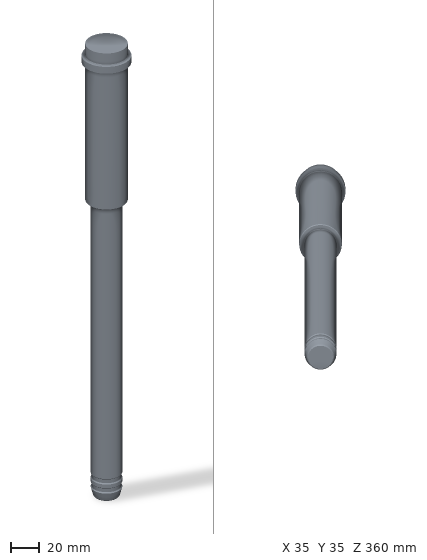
import cadquery as cq

length = 360.0

head_diameter = 30.0
head_length = 125.0
collar_diameter = 35.0
collar_height = 5.5
collar_offset = 9.5
edge_break = 0.55

rod_diameter = 22.5
nose_height = 7.2
nose_tip_diameter = 18.7
tip_chamfer = 0.7

groove_depth = 0.7
groove_flank = 0.7
groove_height = 4.5
groove_pitch = 7.2
groove_count = 2

head_bottom = length - head_length
collar_top = length - collar_offset
collar_bottom = collar_top - collar_height
head_radius = head_diameter / 2
collar_radius = collar_diameter / 2
rod_radius = rod_diameter / 2
tip_radius = nose_tip_diameter / 2
floor_radius = rod_radius - groove_depth

section = (
    cq.Workplane("XZ")
    .lineTo(tip_radius - tip_chamfer, 0)
    .lineTo(tip_radius, tip_chamfer)
    .lineTo(rod_radius, nose_height)
)

for index in range(groove_count):
    bottom = nose_height + index * groove_pitch
    top = bottom + groove_height
    if index > 0:
        section = section.lineTo(rod_radius, bottom)
    section = (
        section.lineTo(floor_radius, bottom + groove_flank)
        .lineTo(floor_radius, top - groove_flank)
        .lineTo(rod_radius, top)
    )

section = (
    section.lineTo(rod_radius, head_bottom - edge_break)
    .lineTo(rod_radius + edge_break, head_bottom)
    .lineTo(head_radius - edge_break, head_bottom)
    .lineTo(head_radius, head_bottom + edge_break)
    .lineTo(head_radius, collar_bottom - edge_break)
    .lineTo(head_radius + edge_break, collar_bottom)
    .lineTo(collar_radius, collar_bottom)
    .lineTo(collar_radius, collar_top)
    .lineTo(head_radius + edge_break, collar_top)
    .lineTo(head_radius, collar_top + edge_break)
    .lineTo(head_radius, length)
    .lineTo(0, length)
    .close()
)
result = section.revolve(360, (0, 0, 0), (0, 1, 0))